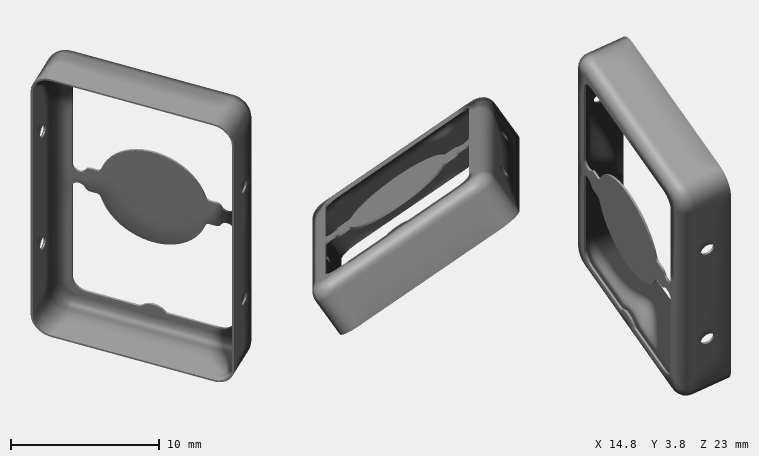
import cadquery as cq
import math

width = 14.8
depth = 3.8
height = 23.0
wall = 0.15
corner_radius = 1.5
floor_edge_radius = 0.92

window_width = width - 2 * 1.5
window_height = height - 2 * 1.45
window_corner_radius = 1.0

disc_radius = 4.0
strap_half_width = 1.01
notch_radius = 0.5
shoulder_radius = 0.4
root_radius = 0.3

bump_radius = 1.1
bump_rise = 0.45
bump_foot_radius = 0.4

hole_diameter = 1.0
hole_spacing = 10.0
hole_from_rim = 1.8


def rounded_tray_block(inset):
    """Block offset inward from the outer skin, with rounded corners and floor edge."""
    block_depth = depth - inset
    return (
        cq.Workplane("XY")
        .box(width - 2 * inset, block_depth, height - 2 * inset)
        .translate((0, block_depth / 2, 0))
        .edges("|Y").fillet(corner_radius - inset)
        .faces(">Y").edges().fillet(floor_edge_radius - inset)
    )


def floor_plane():
    """Sketch plane on the outer floor face; local x is X, local y is Z, extruding toward -Y."""
    return cq.Workplane("XZ", origin=(0, depth, 0))


def window():
    return (
        floor_plane()
        .rect(window_width, window_height)
        .extrude(wall)
        .edges("|Y").fillet(window_corner_radius)
    )


def disc_with_straps():
    """Disc joined to both window sides by straps that are notched next to the frame."""
    half_window = window_width / 2
    notch_x = half_window - notch_radius

    shoulder_x = notch_x - math.sqrt(notch_radius**2 + 2 * notch_radius * shoulder_radius)
    notch_share = notch_radius / (notch_radius + shoulder_radius)
    notch_end_x = notch_x + (shoulder_x - notch_x) * notch_share
    notch_end_z = strap_half_width - shoulder_radius * notch_share

    root_z = strap_half_width + root_radius
    root_x = math.sqrt((disc_radius + root_radius) ** 2 - root_z**2)
    disc_share = disc_radius / (disc_radius + root_radius)
    disc_end_x = root_x * disc_share
    disc_end_z = root_z * disc_share

    def strap(side):
        def top_half(mirror):
            return (
                floor_plane()
                .moveTo(0, 0)
                .lineTo(side * half_window, 0)
                .lineTo(side * half_window, mirror * strap_half_width)
                .threePointArc(
                    (side * notch_x, mirror * (strap_half_width - notch_radius)),
                    (side * notch_end_x, mirror * notch_end_z),
                )
                .radiusArc((side * shoulder_x, mirror * strap_half_width), side * mirror * -shoulder_radius)
                .lineTo(side * root_x, mirror * strap_half_width)
                .radiusArc((side * disc_end_x, mirror * disc_end_z), side * mirror * root_radius)
                .close()
                .extrude(wall)
            )

        return top_half(1).union(top_half(-1))

    disc = floor_plane().circle(disc_radius).extrude(wall)
    return disc.union(strap(1)).union(strap(-1))


def bump():
    """Arc-topped bump blended into the lower window edge."""
    edge_z = -window_height / 2
    center_z = bump_rise - bump_radius
    reach = bump_radius + bump_foot_radius
    foot_x = math.sqrt(reach**2 - (bump_foot_radius - center_z) ** 2)
    share = bump_radius / reach
    arc_x = foot_x * share
    arc_z = edge_z + center_z + (bump_foot_radius - center_z) * share
    return (
        floor_plane()
        .moveTo(-foot_x, edge_z)
        .radiusArc((-arc_x, arc_z), -bump_foot_radius)
        .threePointArc((0, edge_z + bump_rise), (arc_x, arc_z))
        .radiusArc((foot_x, edge_z), -bump_foot_radius)
        .close()
        .extrude(wall)
    )


def side_holes():
    return (
        cq.Workplane("YZ")
        .pushPoints([(hole_from_rim, side * hole_spacing / 2) for side in (-1, 1)])
        .circle(hole_diameter / 2)
        .extrude(width, both=True)
    )


tray = rounded_tray_block(0).cut(rounded_tray_block(wall))
frame = tray.cut(window()).cut(side_holes())
result = frame.union(disc_with_straps()).union(bump()).translate((0, -depth / 2, 0))